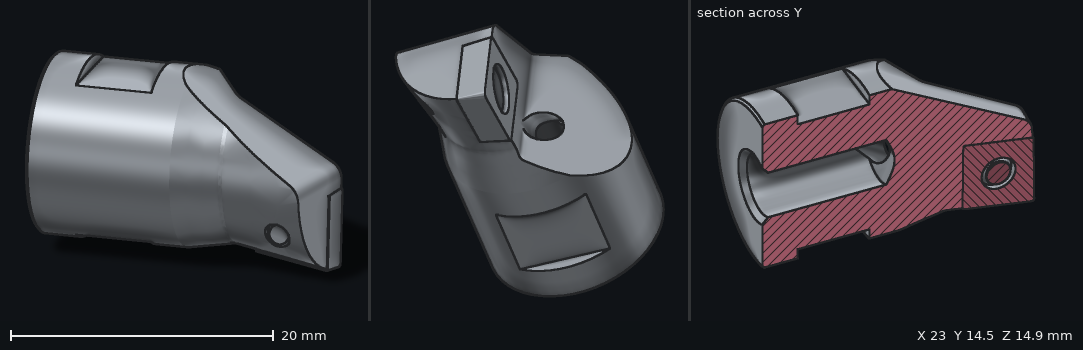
import cadquery as cq
import math


def tan_deg(angle):
    return math.tan(math.radians(angle))


def sin_deg(angle):
    return math.sin(math.radians(angle))


def cos_deg(angle):
    return math.cos(math.radians(angle))


TOOL_LENGTH = 23.0
TIP_Y = -0.04
TIP_DEPTH = 7.87
CLEARANCE_SIZE = 40.0

SHANK_RADIUS = 7.0
SHANK_LENGTH = 11.5
BACK_CHAMFER = 0.2
NECK_X = 15.33
NECK_ANGLE = 10.0
NECK_BLEND_RADIUS = 0.9
FLAT_HEIGHT = 6.0
FLAT_START = 3.0
FLAT_LENGTH = 6.0

BORE_DIAMETER = 5.0
BORE_DEPTH = 10.4
BORE_CHAMFER = 0.5
DRILL_POINT_ANGLE = 118.0
COOLANT_DIAMETER = 2.5
COOLANT_Y = 1.6
COOLANT_START_X = 10.1
COOLANT_START_Z = -0.1
COOLANT_SLOPE = 33.0
COOLANT_LENGTH = 8.0

TOP_SLOPE = 30.0
TOP_SLOPE_START = 10.65
RAKE_TILT = 5.0
KNEE_X = 14.47
WALL_ANGLE = 45.0
KNEE_FILLET = 0.8
NOSE_FILLET = 1.5
INSERT_OVERHANG = 0.1

INSERT_CIRCLE = 6.35
INSERT_ANGLE = 80.0
INSERT_THICKNESS = 2.38
INSERT_RELIEF = 7.0
INSERT_CORNER_RADIUS = 0.4
INSERT_HOLE = 2.8
INSERT_COUNTERSINK = 3.85

SCREW_HEAD = 3.4
SCREW_SHANK = 2.05
SCREW_LENGTH = 5.95
SCREW_END_CHAMFER = 0.25
SCREW_CONE_HALF_ANGLE = 30.0

edge_rise = 90.0 - INSERT_ANGLE
insert_edge = INSERT_CIRCLE / sin_deg(INSERT_ANGLE)
side_run = insert_edge * cos_deg(edge_rise)
side_rise = insert_edge * sin_deg(edge_rise)
insert_center = (side_run / 2, (side_rise + insert_edge) / 2)

nose_setback = INSERT_CORNER_RADIUS * (1 / cos_deg(edge_rise) + tan_deg(edge_rise) - 1)
corner = (TOOL_LENGTH, TIP_Y, -TIP_DEPTH - nose_setback)

rake_normal = (0, cos_deg(RAKE_TILT), -sin_deg(RAKE_TILT))
rake_up = (0, sin_deg(RAKE_TILT), cos_deg(RAKE_TILT))
rake_plane = cq.Plane(origin=corner, xDir=(-1, 0, 0), normal=rake_normal)
section_plane = cq.Plane(origin=corner, xDir=(1, 0, 0), normal=rake_up)


def revolve_about_x(profile):
    return profile.close().revolve(360, (0, 0, 0), (1, 0, 0))


def turned_blank():
    neck_radius = SHANK_RADIUS - (NECK_X - SHANK_LENGTH) * tan_deg(NECK_ANGLE)
    blend_half = NECK_BLEND_RADIUS * sin_deg(NECK_ANGLE)
    blend_end_radius = neck_radius + blend_half * tan_deg(NECK_ANGLE)
    blend_sag = NECK_BLEND_RADIUS * (1 - cos_deg(NECK_ANGLE))
    head_radius = neck_radius + (TOOL_LENGTH - NECK_X) * tan_deg(NECK_ANGLE)
    profile = (
        cq.Workplane("XY")
        .lineTo(0, SHANK_RADIUS - BACK_CHAMFER)
        .lineTo(BACK_CHAMFER, SHANK_RADIUS)
        .lineTo(SHANK_LENGTH, SHANK_RADIUS)
        .lineTo(NECK_X - blend_half, blend_end_radius)
        .threePointArc(
            (NECK_X, blend_end_radius - blend_sag),
            (NECK_X + blend_half, blend_end_radius),
        )
        .lineTo(TOOL_LENGTH, head_radius)
        .lineTo(TOOL_LENGTH, 0)
    )
    return revolve_about_x(profile)


def wrench_flat(side):
    cut_height = SHANK_RADIUS
    return cq.Workplane("XY").box(FLAT_LENGTH, CLEARANCE_SIZE, cut_height).translate(
        (FLAT_START + FLAT_LENGTH / 2, 0, side * (FLAT_HEIGHT + cut_height / 2))
    )


def axial_bore():
    bore_radius = BORE_DIAMETER / 2
    point_length = bore_radius / tan_deg(DRILL_POINT_ANGLE / 2)
    profile = (
        cq.Workplane("XY")
        .lineTo(0, bore_radius + BORE_CHAMFER)
        .lineTo(BORE_CHAMFER, bore_radius)
        .lineTo(BORE_DEPTH, bore_radius)
        .lineTo(BORE_DEPTH + point_length, 0)
    )
    return revolve_about_x(profile)


def coolant_hole():
    start = cq.Vector(COOLANT_START_X, COOLANT_Y, COOLANT_START_Z)
    direction = cq.Vector(cos_deg(COOLANT_SLOPE), 0, -sin_deg(COOLANT_SLOPE))
    hole = cq.Solid.makeCylinder(COOLANT_DIAMETER / 2, COOLANT_LENGTH, start, direction)
    return cq.Workplane(hole)


def space_above_top_slope():
    run = TOOL_LENGTH
    return (
        cq.Workplane("XZ")
        .moveTo(TOP_SLOPE_START, SHANK_RADIUS)
        .lineTo(TOP_SLOPE_START + run, SHANK_RADIUS - run * tan_deg(TOP_SLOPE))
        .lineTo(TOP_SLOPE_START + run, CLEARANCE_SIZE)
        .lineTo(TOP_SLOPE_START - run, CLEARANCE_SIZE)
        .lineTo(TOP_SLOPE_START - run, SHANK_RADIUS + run * tan_deg(TOP_SLOPE))
        .close()
        .extrude(CLEARANCE_SIZE / 2, both=True)
    )


def space_beyond_end_face():
    drop = CLEARANCE_SIZE
    lean = drop * tan_deg(INSERT_RELIEF)
    return (
        cq.Workplane(section_plane)
        .moveTo(-INSERT_OVERHANG + lean, drop)
        .lineTo(-INSERT_OVERHANG - lean, -drop)
        .lineTo(drop, -drop)
        .lineTo(drop, drop)
        .close()
        .extrude(CLEARANCE_SIZE, both=True)
    )


def space_before_rake_face():
    height = CLEARANCE_SIZE
    knee = KNEE_X - TOOL_LENGTH
    return (
        cq.Workplane(section_plane)
        .moveTo(knee, 0)
        .lineTo(height, 0)
        .lineTo(height, height)
        .lineTo(knee - height / tan_deg(WALL_ANGLE), height)
        .close()
        .extrude(CLEARANCE_SIZE, both=True)
        .edges(cq.selectors.NearestToPointSelector((KNEE_X, TIP_Y, corner[2])))
        .fillet(KNEE_FILLET)
    )


def insert_blank():
    outline = (
        cq.Sketch()
        .polygon(
            [
                (0, 0),
                (side_run, side_rise),
                (side_run, side_rise + insert_edge),
                (0, insert_edge),
                (0, 0),
            ]
        )
        .vertices()
        .fillet(INSERT_CORNER_RADIUS)
    )
    face = cq.Workplane(rake_plane).placeSketch(outline)
    return face.extrude(-INSERT_THICKNESS, taper=INSERT_RELIEF)


def revolve_about_screw(profile):
    return profile.close().revolve(360, (0, 0, 0), (0, 1, 0))


def cone_height(radius):
    """Height on the countersink cone, which meets the rake face at the countersink radius."""
    return (radius - INSERT_COUNTERSINK / 2) / tan_deg(SCREW_CONE_HALF_ANGLE)


screw_origin = rake_plane.toWorldCoords((*insert_center, 0))
screw_plane = cq.Plane(origin=screw_origin, xDir=(1, 0, 0), normal=rake_up)


def insert_screw_hole():
    countersink_radius = INSERT_COUNTERSINK / 2
    hole_radius = INSERT_HOLE / 2
    return revolve_about_screw(
        cq.Workplane(screw_plane)
        .lineTo(countersink_radius, 0)
        .lineTo(hole_radius, cone_height(hole_radius))
        .lineTo(hole_radius, -INSERT_THICKNESS)
        .lineTo(0, -INSERT_THICKNESS)
    )


def threaded_hole():
    start = cq.Workplane(rake_plane).center(*insert_center)
    return start.circle(SCREW_SHANK / 2).extrude(-CLEARANCE_SIZE)


def make_screw():
    head_radius = SCREW_HEAD / 2
    shank_radius = SCREW_SHANK / 2
    return revolve_about_screw(
        cq.Workplane(screw_plane)
        .moveTo(0, cone_height(head_radius))
        .lineTo(head_radius, cone_height(head_radius))
        .lineTo(shank_radius, cone_height(shank_radius))
        .lineTo(shank_radius, SCREW_END_CHAMFER - SCREW_LENGTH)
        .lineTo(shank_radius - SCREW_END_CHAMFER, -SCREW_LENGTH)
        .lineTo(0, -SCREW_LENGTH)
    )


def make_insert():
    return insert_blank().cut(insert_screw_hole())


def make_holder():
    body = turned_blank()
    for side in (1, -1):
        body = body.cut(wrench_flat(side))
    body = body.cut(space_above_top_slope()).cut(space_beyond_end_face())
    nose_height = SHANK_RADIUS - (TOOL_LENGTH - TOP_SLOPE_START) * tan_deg(TOP_SLOPE)
    nose_point = (TOOL_LENGTH, 0, nose_height)
    body = body.edges(cq.selectors.NearestToPointSelector(nose_point)).fillet(NOSE_FILLET)
    body = body.cut(space_before_rake_face())
    body = body.cut(axial_bore()).cut(coolant_hole())
    return body.cut(insert_blank()).cut(threaded_hole())


holder = make_holder().solids()
insert = make_insert().solids()
screw = make_screw().solids()

result = cq.Compound.makeCompound([holder.val(), insert.val(), screw.val()])